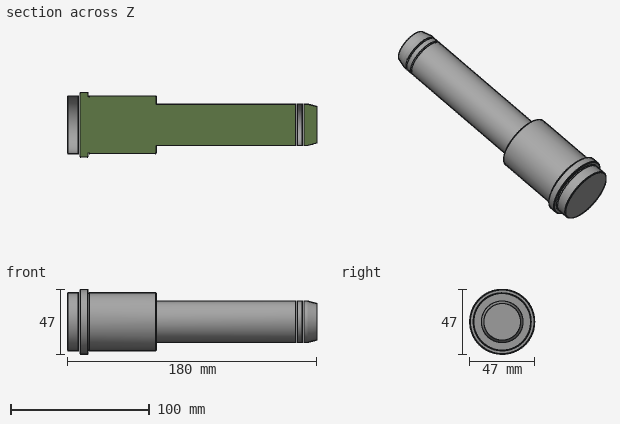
import cadquery as cq

total_length = 180.0

head_diameter = 42.0
head_length = 64.0
head_chamfer = 0.5
collar_diameter = 47.0
collar_start = 9.0
collar_width = 6.0
collar_chamfer = 0.5

shaft_diameter = 30.0
nose_length = 6.8
nose_tip_diameter = 26.5

groove_radius = 0.5
head_groove_centers = (collar_start - groove_radius, collar_start + collar_width + groove_radius)
shaft_groove_centers = (165.0, 170.0)


def cylinder(start, length, diameter):
    """Solid cylinder on the X axis, from X = start."""
    return cq.Workplane("YZ", origin=(start, 0, 0)).circle(diameter / 2).extrude(length)


def cut_grooves(body, centers, diameter):
    """Cut a half-round ring groove into a cylinder of the given diameter at each X position."""
    for center in centers:
        groove = (
            cq.Workplane("XY")
            .center(center, diameter / 2)
            .circle(groove_radius)
            .revolve(360, (0, -diameter / 2, 0), (1, -diameter / 2, 0))
        )
        body = body.cut(groove)
    return body


def make_head():
    head = cylinder(0, head_length, head_diameter).edges("%CIRCLE").chamfer(head_chamfer)
    head = cut_grooves(head, head_groove_centers, head_diameter)
    collar = cylinder(collar_start, collar_width, collar_diameter).edges("%CIRCLE").chamfer(collar_chamfer)
    return head.union(collar)


def make_shaft():
    nose_start = total_length - nose_length
    shaft = cylinder(head_length, nose_start - head_length, shaft_diameter)
    shaft = cut_grooves(shaft, shaft_groove_centers, shaft_diameter)
    nose = (
        cq.Workplane("XY")
        .moveTo(nose_start, 0)
        .lineTo(nose_start, shaft_diameter / 2)
        .lineTo(total_length, nose_tip_diameter / 2)
        .lineTo(total_length, 0)
        .close()
        .revolve(360, (0, 0, 0), (1, 0, 0))
    )
    return shaft.union(nose)


result = make_head().union(make_shaft())